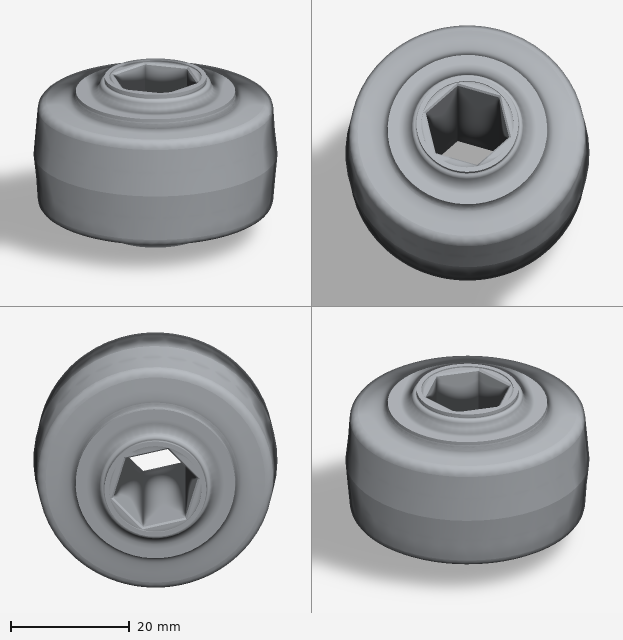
import cadquery as cq
import math

tread_radius = 41.15 / 2
half_height = 27.59 / 2

draft_angle = math.radians(5)
rim_fillet = 1.5

collar_radius = 13.45
collar_top = 11.22
collar_root = 9.92
collar_root_fillet = 0.75

hub_radius = 8.59
shoulder_start_radius = 8.64
shoulder_height = 13.08
shoulder_round = 0.75
flare_fillet = 1.5

hex_across_flats = 12.7
hex_chamfer = 0.3
recess_radius = 7.77
recess_depth = 0.254


def arc_point(center, radius, angle):
    """Point on a circle in the radius-height plane, with the angle in radians from outward."""
    return (center[0] + radius * math.cos(angle), center[1] + radius * math.sin(angle))


def circular_edge(solid, height):
    """The circular edge around the Z axis at the given height."""
    margin = 0.01
    around_axis = cq.selectors.BoxSelector(
        (-margin, -margin, height - margin), (margin, margin, height + margin)
    )
    return solid.edges("%CIRCLE").edges(around_axis)


def make_upper_half():
    """Revolved body from the middle plane to the upper hub end."""
    slope = math.tan(draft_angle)

    rim_height = (collar_root - slope * (tread_radius - collar_radius)) / (1 - slope**2)
    rim_radius = tread_radius - slope * rim_height

    drop = shoulder_height - collar_top
    turn = math.acos(1 - drop / (shoulder_round + flare_fillet))
    shoulder_center = (shoulder_start_radius, shoulder_height - shoulder_round)
    flare_end = shoulder_start_radius + (shoulder_round + flare_fillet) * math.sin(turn)
    flare_center = (flare_end, collar_top + flare_fillet)
    up = math.pi / 2
    shoulder_mid = arc_point(shoulder_center, shoulder_round, up - turn / 2)
    joint = arc_point(shoulder_center, shoulder_round, up - turn)
    flare_mid = arc_point(flare_center, flare_fillet, -up - turn / 2)

    half = (
        cq.Workplane("XZ")
        .moveTo(0, 0)
        .lineTo(tread_radius, 0)
        .lineTo(rim_radius, rim_height)
        .lineTo(collar_radius, collar_root)
        .lineTo(collar_radius, collar_top)
        .lineTo(flare_end, collar_top)
        .threePointArc(flare_mid, joint)
        .threePointArc(shoulder_mid, (shoulder_start_radius, shoulder_height))
        .lineTo(hub_radius, shoulder_height)
        .lineTo(hub_radius, half_height)
        .lineTo(0, half_height)
        .close()
        .revolve(360, (0, 0, 0), (0, 1, 0))
    )
    half = circular_edge(half, rim_height).fillet(rim_fillet)
    return circular_edge(half, collar_root).fillet(collar_root_fillet)


def add_hexagon(plane, across_flats):
    """Draw a hexagon on a workplane, with two corners on the X axis."""
    sides = 6
    return plane.polygon(sides, across_flats / math.cos(math.pi / sides))


def cut_bore_half(half):
    """Cut the hexagonal bore, its chamfered mouth and the round recess."""
    floor = half_height - recess_depth
    bore = add_hexagon(cq.Workplane("XY"), hex_across_flats).extrude(half_height)
    mouth_bottom = add_hexagon(cq.Workplane("XY", origin=(0, 0, floor - hex_chamfer)), hex_across_flats)
    mouth_top = add_hexagon(mouth_bottom.workplane(offset=hex_chamfer), hex_across_flats + 2 * hex_chamfer)
    mouth = mouth_top.loft(ruled=True)
    recess = cq.Workplane("XY").workplane(offset=floor).circle(recess_radius).extrude(recess_depth)
    return half.cut(bore).cut(mouth).cut(recess)


upper_half = cut_bore_half(make_upper_half())
result = upper_half.union(upper_half.mirror("XY"))